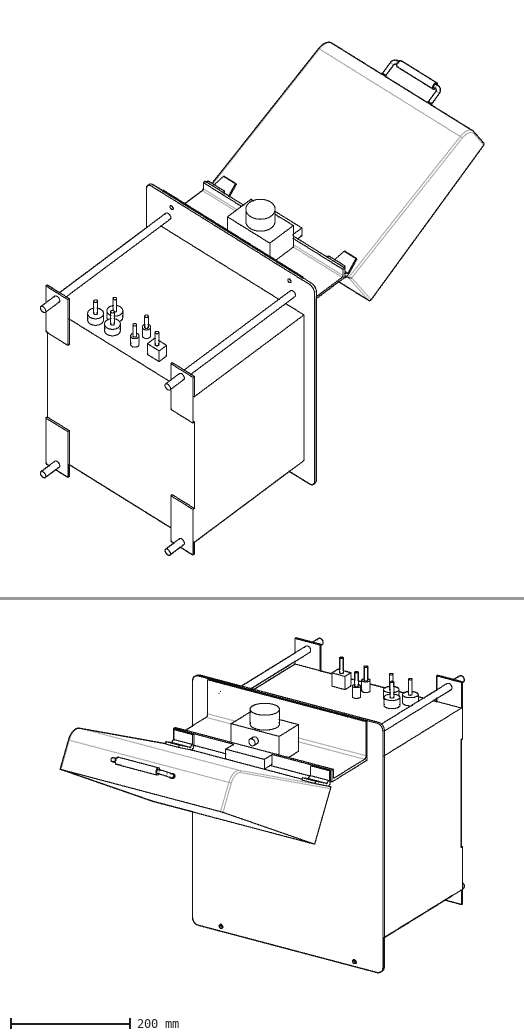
import cadquery as cq
import math


plate_width = 381.0
plate_height = 457.0
plate_thickness = 5.0
plate_corner_radius = 12.0
plate_hole_diameter = 7.0
plate_hole_x = 134.0
plate_hole_upper_z = 208.0
plate_hole_lower_z = -219.5

box_width = 334.0
box_depth = 273.0
box_top_z = 151.0
box_bottom_z = -183.0

tab_width = 50.0
tab_height = 105.0
tab_thickness = 3.5
tab_upper_z = 198.0
tab_lower_z = -209.5
rod_diameter = 12.5
rod_end_y = -311.0
rod_x = 141.5
rod_upper_z = 184.0
rod_lower_z = -194.5

stem_diameter = 6.0
gland_diameter = 26.5
gland_height = 15.0
gland_total_height = 43.0
gland_places = [(-83.0, -244.5), (-44.5, -244.5), (-63.0, -218.0)]
plug_diameter = 14.0
plug_height = 19.5
plug_total_height = 44.5
plug_places = [(6.0, -244.5), (6.0, -216.0)]
socket_width = 26.5
socket_depth = 19.0
socket_height = 24.0
socket_total_height = 51.5
socket_place = (51.5, -239.0)

shelf_width = 317.0
shelf_top_z = 160.0
shelf_thickness = 5.0
shelf_end_y = 111.0
shelf_bend_radius = 2.0
lip_top_z = 176.5
flange_thickness = 2.0
flange_bend_radius = 5.0
flange_top_z = 227.5

lock_width = 96.0
lock_depth = 58.5
lock_height = 49.0
lock_back_y = 104.0
knob_diameter = 49.0
knob_height = 27.0
button_diameter = 12.5
button_length = 10.0
button_height = 30.5
catch_width = 77.0
catch_length = 24.0
catch_height = 18.0

lid_tilt = 30.0
lid_width = 326.0
lid_length = 330.0
lid_hinge_height = 100.0
lid_top_slope = 4.5
lid_round_radius = 25.0
lid_edge_radius = 3.0
lid_corner_y = 169.0
lid_corner_z = 63.0

handle_span = 104.0
handle_reach = 33.0
handle_bar_diameter = 7.0
handle_bend_radius = 7.0
handle_foot_diameter = 8.5
handle_foot_height = 4.0
grip_diameter = 12.5
grip_length = 81.0

hinge_x = 137.0
hinge_width = 37.5
hinge_tip_width = 26.5
hinge_reach = 34.0
hinge_taper_start = 6.0
leaf_thickness = 4.0
knuckle_radius = 5.0

tab_face_y = -box_depth - tab_thickness
lid_far_height = lid_hinge_height - lid_length * math.tan(math.radians(lid_top_slope))


def block(x_range, y_range, z_range):
    """Box between the given limits on each axis."""
    size = [high - low for low, high in (x_range, y_range, z_range)]
    corner = (x_range[0], y_range[0], z_range[0])
    return cq.Workplane("XY").box(*size, centered=False).translate(corner)


def side_profile(points, width):
    """Extrude an outline given in (y, z) symmetrically across the width."""
    return cq.Workplane("YZ").polyline(points).close().extrude(width / 2, both=True)


def upright_cylinder(diameter, height, place):
    return cq.Workplane("XY").circle(diameter / 2).extrude(height).translate(place)


def cylinder_along_y(diameter, x, z, y_start, y_end):
    rod = cq.Workplane("XZ").circle(diameter / 2).extrude(y_start - y_end)
    return rod.translate((x, y_start, z))


def make_plate():
    plate = block(
        (-plate_width / 2, plate_width / 2), (0, plate_thickness), (-plate_height / 2, plate_height / 2)
    )
    plate = plate.edges("|Y").fillet(plate_corner_radius)
    for x in (-plate_hole_x, plate_hole_x):
        for z in (plate_hole_upper_z, plate_hole_lower_z):
            plate = plate.cut(cylinder_along_y(plate_hole_diameter, x, z, plate_thickness, 0))
    return plate


def make_cabinet_box():
    return block((-box_width / 2, box_width / 2), (-box_depth, 0), (box_bottom_z, box_top_z))


def make_corner_mounts():
    """Four tabs on the end face of the box, each with a rod running back to the plate."""
    mounts = []
    for side in (-1, 1):
        x_outer = side * box_width / 2
        x_range = sorted((x_outer, x_outer - side * tab_width))
        for tab_bottom, rod_z in ((tab_upper_z - tab_height, rod_upper_z), (tab_lower_z, rod_lower_z)):
            mounts.append(block(x_range, (tab_face_y, -box_depth), (tab_bottom, tab_bottom + tab_height)))
            mounts.append(cylinder_along_y(rod_diameter, side * rod_x, rod_z, 0, rod_end_y))
    return mounts


def make_connectors():
    """Round glands, small plugs and a square socket, each with a thin stem on top."""
    parts = []
    for x, y in gland_places:
        parts.append(upright_cylinder(gland_diameter, gland_height, (x, y, box_top_z)))
        parts.append(upright_cylinder(stem_diameter, gland_total_height, (x, y, box_top_z)))
    for x, y in plug_places:
        parts.append(upright_cylinder(plug_diameter, plug_height, (x, y, box_top_z)))
        parts.append(upright_cylinder(stem_diameter, plug_total_height, (x, y, box_top_z)))
    x, y = socket_place
    socket = cq.Workplane("XY").rect(socket_width, socket_depth).extrude(socket_height)
    parts.append(socket.translate((x, y, box_top_z)))
    parts.append(upright_cylinder(stem_diameter, socket_total_height, (x, y, box_top_z)))
    return parts


def make_shelf():
    """Folded sheet: flange up the plate, flat shelf, and an upturned lip at its end."""
    shelf_bottom_z = shelf_top_z - shelf_thickness
    flange_face_y = plate_thickness + flange_thickness
    lip_face_y = shelf_end_y - shelf_thickness
    shelf = side_profile(
        [
            (plate_thickness, shelf_bottom_z),
            (shelf_end_y, shelf_bottom_z),
            (shelf_end_y, lip_top_z),
            (lip_face_y, lip_top_z),
            (lip_face_y, shelf_top_z),
            (flange_face_y, shelf_top_z),
            (flange_face_y, flange_top_z),
            (plate_thickness, flange_top_z),
        ],
        shelf_width,
    )
    flange_bend = cq.selectors.NearestToPointSelector((0, flange_face_y, shelf_top_z))
    lip_bend = cq.selectors.NearestToPointSelector((0, lip_face_y, shelf_top_z))
    return shelf.edges(flange_bend).fillet(flange_bend_radius).edges(lip_bend).fillet(shelf_bend_radius)


def make_lock():
    """Lock housing with a round knob on top and a button towards the lid."""
    lock_middle_y = lock_back_y - lock_depth / 2
    lock_top_z = shelf_top_z + lock_height
    housing = block(
        (-lock_width / 2, lock_width / 2), (lock_back_y - lock_depth, lock_back_y), (shelf_top_z, lock_top_z)
    )
    knob = upright_cylinder(knob_diameter, knob_height, (0, lock_middle_y, lock_top_z))
    button_end_y = lock_back_y + button_length
    button = cylinder_along_y(button_diameter, 0, shelf_top_z + button_height, button_end_y, lock_back_y)
    return [housing, knob, button]


def make_catch():
    return block(
        (-catch_width / 2, catch_width / 2),
        (shelf_end_y, shelf_end_y + catch_length),
        (lip_top_z - catch_height, lip_top_z),
    )


def make_enclosure():
    enclosure = make_plate().union(make_cabinet_box())
    features = [*make_corner_mounts(), *make_connectors(), make_shelf(), *make_lock(), make_catch()]
    for feature in features:
        enclosure = enclosure.union(feature)
    return enclosure


def open_lid(shape):
    """Move a shape from the lid's frame, whose origin is its lower hinge-side corner, into place."""
    return shape.rotate((0, 0, 0), (1, 0, 0), lid_tilt).translate((0, lid_corner_y, lid_corner_z))


def make_lid():
    """Wedge-shaped lid with a large round at its far top edge and small rounds all over but the rim."""
    lid = side_profile(
        [(0, 0), (lid_length, 0), (lid_length, lid_far_height), (0, lid_hinge_height)], lid_width
    )
    far_top_edge = cq.selectors.NearestToPointSelector((0, lid_length, lid_far_height))
    lid = lid.edges(far_top_edge).fillet(lid_round_radius)
    lid = lid.faces("<X or >X").edges("not <Z").fillet(lid_edge_radius)
    return open_lid(lid)


def make_handle():
    """Bent round bar on collared feet on the far wall of the lid, with a thicker grip along its middle."""
    foot_x = handle_span / 2
    bend_start = handle_reach - handle_bend_radius
    bend_mid = handle_bend_radius * math.sqrt(0.5)
    path = (
        cq.Workplane("XY")
        .moveTo(-foot_x, 0)
        .lineTo(-foot_x, bend_start)
        .threePointArc(
            (-foot_x + handle_bend_radius - bend_mid, bend_start + bend_mid),
            (-foot_x + handle_bend_radius, handle_reach),
        )
        .lineTo(foot_x - handle_bend_radius, handle_reach)
        .threePointArc(
            (foot_x - handle_bend_radius + bend_mid, bend_start + bend_mid),
            (foot_x, bend_start),
        )
        .lineTo(foot_x, 0)
    )
    bar = cq.Workplane("XZ", origin=(-foot_x, 0, 0)).circle(handle_bar_diameter / 2).sweep(path)
    grip = cq.Workplane("YZ").circle(grip_diameter / 2).extrude(grip_length / 2, both=True)
    handle = bar.union(grip.translate((0, handle_reach, 0)))
    for x in (-foot_x, foot_x):
        handle = handle.union(cylinder_along_y(handle_foot_diameter, x, 0, handle_foot_height, 0))
    return open_lid(handle.translate((0, lid_length, lid_far_height / 2)))


def make_hinge(x):
    """Leaf on the lid, knuckle over the lid's hinge-side edge, and a leaf up against the shelf lip."""
    tilt = math.radians(lid_tilt)
    edge_y = lid_corner_y - lid_hinge_height * math.sin(tilt)
    edge_z = lid_corner_z + lid_hinge_height * math.cos(tilt)
    top_angle = lid_tilt - lid_top_slope

    lid_leaf = (
        cq.Workplane("XY")
        .polyline(
            [
                (-hinge_width / 2, 0),
                (hinge_width / 2, 0),
                (hinge_width / 2, hinge_taper_start),
                (hinge_tip_width / 2, hinge_reach),
                (-hinge_tip_width / 2, hinge_reach),
                (-hinge_width / 2, hinge_taper_start),
            ]
        )
        .close()
        .extrude(leaf_thickness)
    )
    knuckle = cq.Workplane("YZ").circle(knuckle_radius).extrude(hinge_width / 2, both=True)
    moving_half = lid_leaf.union(knuckle.translate((0, 0, knuckle_radius)))
    moving_half = moving_half.rotate((0, 0, 0), (1, 0, 0), top_angle).translate((0, edge_y, edge_z))

    knuckle_z = edge_z + knuckle_radius * math.cos(math.radians(top_angle))
    lip_leaf = block(
        (-hinge_width / 2, hinge_width / 2), (shelf_end_y, shelf_end_y + leaf_thickness), (knuckle_z, lip_top_z)
    )
    return moving_half.union(lip_leaf).translate((x, 0, 0))


enclosure = make_enclosure()
lid = make_lid()
handle = make_handle()
hinges = [make_hinge(x).val() for x in (-hinge_x, hinge_x)]

result = cq.Compound.makeCompound([enclosure.val(), lid.val(), handle.val(), *hinges])